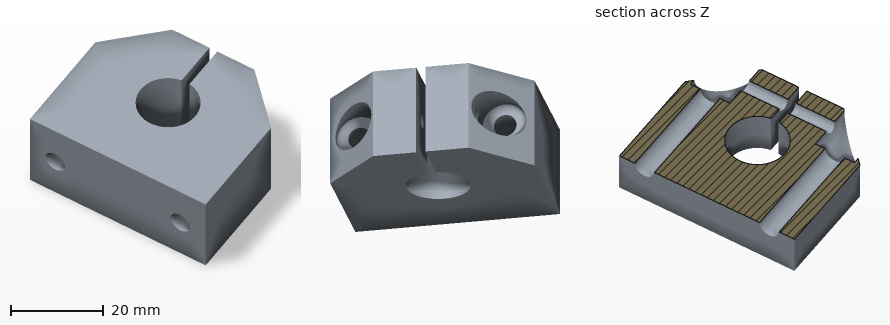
import cadquery as cq

WIDTH = 45.0
HEIGHT = 38.0
THICKNESS = 20.0
CORNER_CHAMFER = 12.0

BORE_DIAMETER = 14.0
BORE_HEIGHT = 20.0
SLIT_WIDTH = 2.0

MOUNT_HOLE_DIAMETER = 5.0
MOUNT_HOLE_SPACING = 32.0
HEAD_RECESS_DIAMETER = 10.0
HEAD_RECESS_DEPTH = CORNER_CHAMFER

CLAMP_HOLE_DIAMETER = 3.3
CLAMP_HOLE_FROM_TOP = 6.0

BASE_Y = -BORE_HEIGHT
TOP_Y = BASE_Y + HEIGHT


def make_body():
    """Plate with its two upper corners cut at 45 degrees, centred on Z = 0."""
    half_width = WIDTH / 2
    shoulder_y = TOP_Y - CORNER_CHAMFER
    crown_x = half_width - CORNER_CHAMFER
    outline = [
        (-half_width, BASE_Y),
        (half_width, BASE_Y),
        (half_width, shoulder_y),
        (crown_x, TOP_Y),
        (-crown_x, TOP_Y),
        (-half_width, shoulder_y),
    ]
    return cq.Workplane("XY").polyline(outline).close().extrude(THICKNESS / 2, both=True)


def make_bore():
    """Shaft bore through the thickness."""
    return cq.Workplane("XY").circle(BORE_DIAMETER / 2).extrude(THICKNESS / 2, both=True)


def make_slit():
    """Clamping slit from the bore axis up through the top face."""
    return cq.Workplane("XY").box(SLIT_WIDTH, TOP_Y, THICKNESS).translate((0, TOP_Y / 2, 0))


def make_upright_cylinder(x, diameter, bottom_y):
    """Cylinder parallel to Y at the given x, from bottom_y up to the top face."""
    length = TOP_Y - bottom_y
    plane = cq.Workplane("XZ", origin=(x, TOP_Y, 0))
    return plane.circle(diameter / 2).extrude(length)


def make_mount_hole(x):
    """Through hole with a screw head recess that breaks out through the chamfer."""
    hole = make_upright_cylinder(x, MOUNT_HOLE_DIAMETER, BASE_Y)
    recess = make_upright_cylinder(x, HEAD_RECESS_DIAMETER, TOP_Y - HEAD_RECESS_DEPTH)
    return hole.union(recess)


def make_clamp_hole():
    """Clamp screw hole across the slit, through the full width."""
    plane = cq.Workplane("YZ", origin=(0, TOP_Y - CLAMP_HOLE_FROM_TOP, 0))
    return plane.circle(CLAMP_HOLE_DIAMETER / 2).extrude(WIDTH / 2, both=True)


result = make_body().cut(make_bore()).cut(make_slit()).cut(make_clamp_hole())
for side in (-1, 1):
    result = result.cut(make_mount_hole(side * MOUNT_HOLE_SPACING / 2))